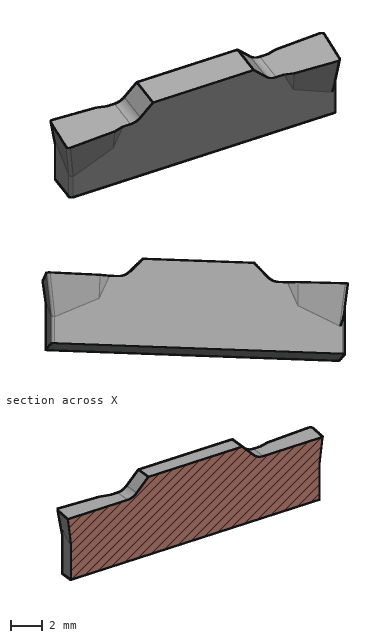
import cadquery as cq
import math

LENGTH = 19.94
HEIGHT = 5.76
HEAD_WIDTH = 3.05
CORNER_RADIUS = 0.2

BODY_WIDTH = 2.31
BODY_LENGTH = 19.2
CREST_LENGTH = 7.25
LEDGE_DROP = 1.2
SHOULDER_RADIUS = 1.0
ledge_z = HEIGHT - LEDGE_DROP

CLEARANCE_ANGLE = 7.0
SIDE_ANGLE = math.radians(3.2)
LEAD_ANGLE = math.radians(5)
FLARE_START_Y = 5.8
NECK_Y = 6.46
HEAD_ROOT_Y = 3.99

SELECT_MARGIN = 0.2


def make_body():
    """Blank with rounded ends and a raised crest between two 45 degree shoulders."""
    half_crest = CREST_LENGTH / 2
    shoulder_y = half_crest + LEDGE_DROP
    half_length = BODY_LENGTH / 2
    blank = (
        cq.Workplane("YZ")
        .polyline([
            (-half_length, 0),
            (half_length, 0),
            (half_length, ledge_z),
            (shoulder_y, ledge_z),
            (half_crest, HEIGHT),
            (-half_crest, HEIGHT),
            (-shoulder_y, ledge_z),
            (-half_length, ledge_z),
        ])
        .close()
        .extrude(BODY_WIDTH / 2, both=True)
    )
    shoulder_roots = cq.selectors.BoxSelector(
        (-BODY_WIDTH, -shoulder_y - SELECT_MARGIN, ledge_z - SELECT_MARGIN),
        (BODY_WIDTH, shoulder_y + SELECT_MARGIN, ledge_z + SELECT_MARGIN),
    )
    return (
        blank.edges("|Z").fillet(CORNER_RADIUS)
        .edges("|X").edges(shoulder_roots).fillet(SHOULDER_RADIUS)
    )


def make_front_head():
    """Flared head at -Y, its walls drawn in downwards by the clearance angle."""
    arc_x = HEAD_WIDTH / 2 - CORNER_RADIUS
    arc_y = -LENGTH / 2 + CORNER_RADIUS

    side_slope = math.tan(SIDE_ANGLE)
    side_offset = arc_x + arc_y * side_slope + CORNER_RADIUS / math.cos(SIDE_ANGLE)

    lead_slope = math.tan(LEAD_ANGLE)
    end_offset = arc_y + arc_x * lead_slope - CORNER_RADIUS / math.cos(LEAD_ANGLE)

    def tip_corner(side):
        """Sharp meeting point of the end wall with the +X (1) or -X (-1) side wall."""
        x = side * (side_offset - end_offset * side_slope) / (1 - side * side_slope * lead_slope)
        return (x, end_offset - x * lead_slope)

    half_body = BODY_WIDTH / 2
    half_neck = side_offset + NECK_Y * side_slope
    head = (
        cq.Workplane("XY", origin=(0, 0, ledge_z))
        .polyline([
            (-half_body, -HEAD_ROOT_Y),
            (-half_body, -FLARE_START_Y),
            (-half_neck, -NECK_Y),
            tip_corner(-1),
            tip_corner(1),
            (half_neck, -NECK_Y),
            (half_body, -FLARE_START_Y),
            (half_body, -HEAD_ROOT_Y),
        ])
        .close()
        .extrude(-ledge_z, taper=CLEARANCE_ANGLE)
    )
    tip_edges = cq.selectors.BoxSelector(
        (-HEAD_WIDTH, -LENGTH, SELECT_MARGIN),
        (HEAD_WIDTH, -NECK_Y - SELECT_MARGIN, ledge_z - SELECT_MARGIN),
    )
    return head.edges(tip_edges).fillet(CORNER_RADIUS)


front_head = make_front_head()
back_head = front_head.rotate((0, 0, 0), (0, 0, 1), 180)
result = make_body().union(front_head).union(back_head)